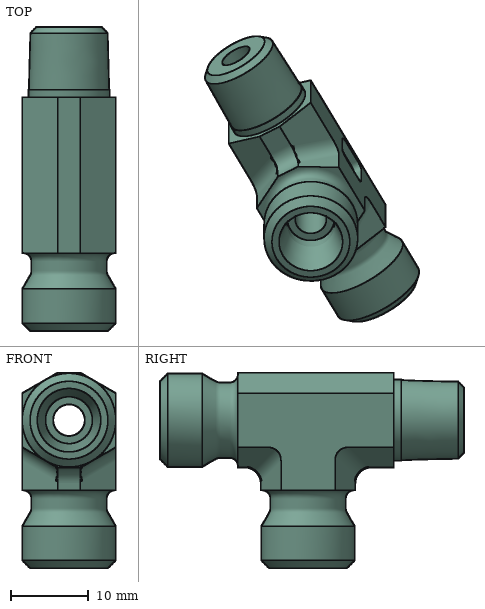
import cadquery as cq
import math


width = 12.0
length = 39.0
height = 25.08
socket_reach = 19.0
socket_length = 10.0
run_length = 20.0
inner_corner_radius = 2.0
match_tolerance = 0.005

half_width = width / 2
side_flat_half = half_width * math.tan(math.radians(30))
cut_height = height - socket_reach
cut_flat_half = half_width - (cut_height - side_flat_half) / math.tan(math.radians(30))

run_front = -(socket_reach - socket_length)
run_back = run_front + run_length
branch_depth = socket_reach - socket_length

socket_radius = width / 2
neck_radius = 9.7 / 2
neck_fillet = 1.0
shoulder_start = 2.3
shoulder_fillet = 1.0
shoulder_angle = math.radians(30)
socket_chamfer = 1.0

bore_diameter = 4.0
tube_diameter = 6.0
tube_seat_depth = 7.0
mouth_diameter = 8.15
cone_half_angle = math.radians(12)

stud_length = length - socket_reach - run_back
stud_collar_diameter = 10.45
stud_collar_length = 0.95
stud_root_diameter = 10.35
stud_tip_diameter = 9.95
stud_chamfer = 0.78

recess_size = 5.07
recess_corner_radius = 1.0
recess_depth = 1.0


def body_section(plane):
    """Outline of the flattened hexagon, centred on the axis of the run or the branch."""
    return cq.Workplane(plane).polyline([
        (half_width, -side_flat_half),
        (half_width, side_flat_half),
        (cut_flat_half, cut_height),
        (-cut_flat_half, cut_height),
        (-half_width, side_flat_half),
        (-half_width, -side_flat_half),
        (-cut_flat_half, -cut_height),
        (cut_flat_half, -cut_height),
    ]).close()


def make_body():
    """Hexagonal run and branch with rounded inner corners."""
    run_plane = cq.Plane(origin=(0, run_front, 0), xDir=(-1, 0, 0), normal=(0, 1, 0))
    branch_plane = cq.Plane(origin=(0, 0, 0), xDir=(1, 0, 0), normal=(0, 0, -1))
    run = body_section(run_plane).extrude(run_length)
    branch = body_section(branch_plane).extrude(branch_depth)
    body = run.union(branch)
    corners = [
        edge for edge in body.edges().vals()
        if all(abs(abs(end.Y) + end.Z) < match_tolerance for end in edge.Vertices())
    ]
    return body.newObject(corners).fillet(inner_corner_radius)


def aim(solid, plane):
    """Move a solid turned about the Z axis onto a plane's origin and normal."""
    return cq.Workplane(obj=solid.val().moved(cq.Location(plane)))


def socket_outside():
    """Turned outside of a tube socket, with the body face at z = 0."""
    bend_length = shoulder_fillet * math.sin(shoulder_angle)
    bend_rise = shoulder_fillet * (1 - math.cos(shoulder_angle))
    half_bend = shoulder_angle / 2
    cone_start = shoulder_start + bend_length
    cone_rise = socket_radius - neck_radius - bend_rise
    cone_end = cone_start + cone_rise / math.tan(shoulder_angle)
    diagonal = neck_fillet * (1 - math.sqrt(0.5))
    return (
        cq.Workplane("XZ")
        .lineTo(neck_radius + neck_fillet, 0)
        .threePointArc((neck_radius + diagonal, diagonal), (neck_radius, neck_fillet))
        .lineTo(neck_radius, shoulder_start)
        .threePointArc(
            (neck_radius + shoulder_fillet * (1 - math.cos(half_bend)),
             shoulder_start + shoulder_fillet * math.sin(half_bend)),
            (neck_radius + bend_rise, cone_start),
        )
        .lineTo(socket_radius, cone_end)
        .lineTo(socket_radius, socket_length - socket_chamfer)
        .lineTo(socket_radius - socket_chamfer, socket_length)
        .lineTo(0, socket_length)
        .close()
        .revolve(360, (0, 0, 0), (0, 1, 0))
    )


def socket_bore():
    """Conical mouth and tube seat to cut from a socket, with the body face at z = 0."""
    mouth_radius = mouth_diameter / 2
    tube_radius = tube_diameter / 2
    cone_depth = (mouth_radius - tube_radius) / math.tan(cone_half_angle)
    return (
        cq.Workplane("XZ")
        .moveTo(0, socket_length - tube_seat_depth)
        .lineTo(tube_radius, socket_length - tube_seat_depth)
        .lineTo(tube_radius, socket_length - cone_depth)
        .lineTo(mouth_radius, socket_length)
        .lineTo(0, socket_length)
        .close()
        .revolve(360, (0, 0, 0), (0, 1, 0))
    )


def stud():
    """Tapered stud with a short collar, with the body face at z = 0."""
    tip_radius = stud_tip_diameter / 2
    return (
        cq.Workplane("XZ")
        .lineTo(stud_collar_diameter / 2, 0)
        .lineTo(stud_collar_diameter / 2, stud_collar_length)
        .lineTo(stud_root_diameter / 2, stud_collar_length)
        .lineTo(tip_radius, stud_length - stud_chamfer)
        .lineTo(tip_radius - stud_chamfer, stud_length)
        .lineTo(0, stud_length)
        .close()
        .revolve(360, (0, 0, 0), (0, 1, 0))
    )


front_face = cq.Plane(origin=(0, run_front, 0), xDir=(1, 0, 0), normal=(0, -1, 0))
bottom_face = cq.Plane(origin=(0, 0, -branch_depth), xDir=(1, 0, 0), normal=(0, 0, -1))
back_face = cq.Plane(origin=(0, run_back, 0), xDir=(1, 0, 0), normal=(0, 1, 0))

result = make_body().union(aim(stud(), back_face))
for face in (front_face, bottom_face):
    result = result.union(aim(socket_outside(), face))
for face in (front_face, bottom_face):
    result = result.cut(aim(socket_bore(), face))

run_bore = cq.Workplane("XZ", origin=(0, -socket_reach, 0)).circle(bore_diameter / 2).extrude(-length)
branch_bore = cq.Workplane("XY").circle(bore_diameter / 2).extrude(-socket_reach)
result = result.cut(run_bore).cut(branch_bore)

recess = (
    cq.Workplane("YZ", origin=(-half_width, 0, 0))
    .rect(recess_size, recess_size)
    .extrude(recess_depth)
    .edges("|X")
    .fillet(recess_corner_radius)
)
result = result.cut(recess)